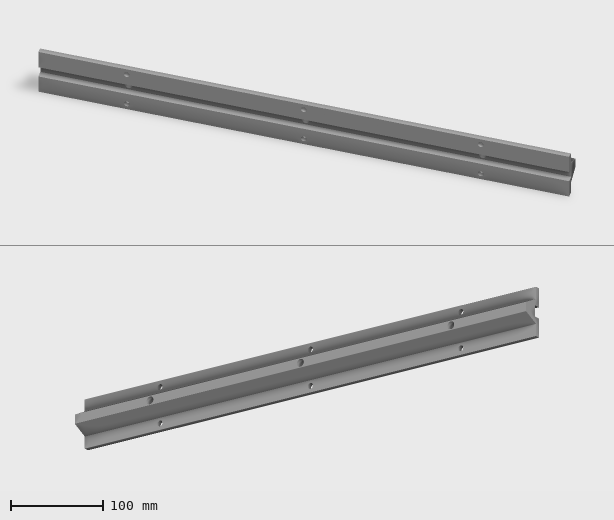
import cadquery as cq

length = 599.5
depth = 24.5
height = 57.0

flange_thickness = 6.0
crest_height = 11.0
crest_base_height = 29.0
groove_depth = 8.0
groove_height = 13.0

column_count = 3
column_pitch = length / column_count
flange_hole_diameter = 6.5
flange_hole_offset = 21.0
center_hole_diameter = 9.0

front_y = -depth / 2
back_y = depth / 2
flange_back_y = front_y + flange_thickness
groove_floor_y = front_y + groove_depth


def make_rail():
    """Extrude the symmetric hat-shaped section along X."""
    upper_half = [
        (groove_floor_y, 0),
        (groove_floor_y, groove_height / 2),
        (front_y, groove_height / 2),
        (front_y, height / 2),
        (flange_back_y, height / 2),
        (flange_back_y, crest_base_height / 2),
        (back_y, crest_height / 2),
        (back_y, 0),
    ]
    section = cq.Workplane("YZ").polyline(upper_half).mirrorX()
    return section.extrude(length / 2, both=True)


def make_holes(diameter, z):
    """Make a row of cylinders along Y, one per column, at height z."""
    first_x = -column_pitch * (column_count - 1) / 2
    centers = [(first_x + i * column_pitch, z) for i in range(column_count)]
    row = cq.Workplane("XZ").pushPoints(centers)
    return row.circle(diameter / 2).extrude(depth, both=True)


result = make_rail()
for hole_z in (-flange_hole_offset, flange_hole_offset):
    result = result.cut(make_holes(flange_hole_diameter, hole_z))
result = result.cut(make_holes(center_hole_diameter, 0))